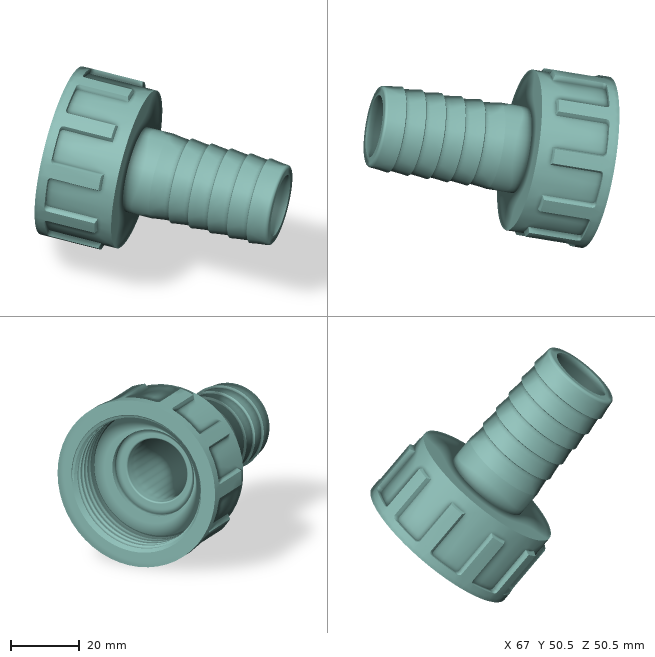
import cadquery as cq
import math


NUT_RADIUS = 25.25
NUT_BODY_RADIUS = 23.7
NUT_LENGTH = 23.0
COLLAR_LENGTH = 2.95
BACK_WALL = 4.0
CHAMBER_END = NUT_LENGTH - BACK_WALL

RIB_COUNT = 10
RIB_TOP_WIDTH = 4.2
RIB_TOP_END = 18.35
RIB_DRAFT = 17
RIB_CORNER_RADIUS = 1.0
CUT_MARGIN = 0.7

BORE_RADIUS = 19.5
THREAD_ROOT_RADIUS = 20.85
MOUTH_CHAMFER = 1.75
THREAD_PITCH = 2.31
THREAD_TURNS = 5.5
THREAD_START = 0.2
THREAD_OVERLAP = 0.1
FLANK_ANGLE = 27.5
ROOT_FLAT = 0.5
RUNOUT_CENTRE = 14.75
RUNOUT_ANGLE = 40

WASHER_RADIUS = 18.95
WASHER_HOLE_RADIUS = 13.1
WASHER_START = 11.8
WASHER_THICKNESS = 2.5

TAIL_START = WASHER_START + WASHER_THICKNESS
TAIL_END = 67.0
TAIL_RADIUS = 12.7
BARB_ROOT_RADIUS = 12.05
BARB_START = 30.95
BARB_PITCH = 5.995
BARB_COUNT = 6
BARB_STEP = 0.35
BARB_SAG = 0.1
TIP_ROUND = 0.9
TAIL_BORE_RADIUS = 9.6
TAIL_BORE_END_RADIUS = 9.2
BORE_ENTRY_ROUND = 0.5


def tube_along_x(start, end, outer_radius, hole_radius):
    ring = cq.Workplane("YZ", origin=(start, 0, 0)).circle(outer_radius).circle(hole_radius)
    return ring.extrude(end - start)


def disc_along_x(start, end, radius):
    return cq.Workplane("YZ", origin=(start, 0, 0)).circle(radius).extrude(end - start)


def revolve_about_x(profile):
    return profile.close().revolve(360, (0, 0, 0), (1, 0, 0))


def make_rib():
    """One grip rib along +Z, its sides and rear end drafted outwards from the base."""
    base_radius = NUT_BODY_RADIUS - CUT_MARGIN
    base_growth = (NUT_RADIUS - base_radius) * math.tan(math.radians(RIB_DRAFT))
    end = RIB_TOP_END + base_growth
    rib = cq.Workplane("XY", origin=(end / 2, 0, base_radius)).rect(end, RIB_TOP_WIDTH + 2 * base_growth)
    return rib.extrude(NUT_RADIUS + CUT_MARGIN - base_radius, taper=RIB_DRAFT)


def make_nut_outside():
    relief = tube_along_x(
        COLLAR_LENGTH, NUT_LENGTH + CUT_MARGIN, NUT_RADIUS + CUT_MARGIN, NUT_BODY_RADIUS
    )
    rib = make_rib()
    for i in range(RIB_COUNT):
        relief = relief.cut(rib.rotate((0, 0, 0), (1, 0, 0), 90 + i * 360 / RIB_COUNT))

    corner_box = cq.selectors.BoxSelector(
        (COLLAR_LENGTH - 0.1, -2 * NUT_RADIUS, -2 * NUT_RADIUS),
        (COLLAR_LENGTH + 0.1, 2 * NUT_RADIUS, 2 * NUT_RADIUS),
    )
    relief = relief.edges(corner_box).edges("%LINE").fillet(RIB_CORNER_RADIUS)
    return disc_along_x(0, NUT_LENGTH, NUT_RADIUS).cut(relief)


def make_groove_profile():
    """Trapezoidal section of the thread groove, on the +Y side."""
    inner_radius = BORE_RADIUS - THREAD_OVERLAP
    half_root = ROOT_FLAT / 2
    half_mouth = half_root + (THREAD_ROOT_RADIUS - inner_radius) * math.tan(math.radians(FLANK_ANGLE))
    return (
        cq.Workplane("XY")
        .moveTo(THREAD_START - half_mouth, inner_radius)
        .lineTo(THREAD_START + half_mouth, inner_radius)
        .lineTo(THREAD_START + half_root, THREAD_ROOT_RADIUS)
        .lineTo(THREAD_START - half_root, THREAD_ROOT_RADIUS)
        .close()
    )


def make_thread_groove():
    """Right-handed groove cut outwards from the bore, running inwards from +Y."""
    helix = cq.Wire.makeHelix(THREAD_PITCH, THREAD_PITCH * THREAD_TURNS, BORE_RADIUS)
    helix = helix.rotate(cq.Vector(0, 0, 0), cq.Vector(0, 0, 1), 90)
    helix = helix.rotate(cq.Vector(0, 0, 0), cq.Vector(0, 1, 0), 90)
    helix = helix.translate(cq.Vector(THREAD_START, 0, 0))
    return make_groove_profile().sweep(cq.Workplane(helix), isFrenet=True)


def make_groove_runout():
    """Start of the groove, swung inwards on a tighter arc until it leaves the wall."""
    return make_groove_profile().revolve(RUNOUT_ANGLE, (0, RUNOUT_CENTRE, 0), (-1, RUNOUT_CENTRE, 0))


def make_nut():
    cavity = revolve_about_x(
        cq.Workplane("XY")
        .moveTo(0, 0)
        .lineTo(0, THREAD_ROOT_RADIUS)
        .lineTo(MOUTH_CHAMFER, BORE_RADIUS)
        .lineTo(CHAMBER_END, BORE_RADIUS)
        .lineTo(CHAMBER_END, TAIL_RADIUS)
        .lineTo(NUT_LENGTH, TAIL_RADIUS)
        .lineTo(NUT_LENGTH, 0)
    )
    nut = make_nut_outside().cut(cavity)
    return nut.cut(make_thread_groove()).cut(make_groove_runout())


def make_washer():
    return tube_along_x(WASHER_START, TAIL_START, WASHER_RADIUS, WASHER_HOLE_RADIUS)


def make_tail():
    profile = (
        cq.Workplane("XY")
        .moveTo(TAIL_START, TAIL_BORE_RADIUS + BORE_ENTRY_ROUND)
        .lineTo(TAIL_START, WASHER_RADIUS)
        .lineTo(CHAMBER_END, WASHER_RADIUS)
        .lineTo(CHAMBER_END, TAIL_RADIUS)
        .lineTo(BARB_START, TAIL_RADIUS)
    )
    middle_radius = (TAIL_RADIUS + BARB_ROOT_RADIUS) / 2 - BARB_SAG
    for i in range(BARB_COUNT - 1):
        crest = BARB_START + i * BARB_PITCH
        root = crest + BARB_PITCH - BARB_STEP
        profile = profile.threePointArc(((crest + root) / 2, middle_radius), (root, BARB_ROOT_RADIUS))
        profile = profile.lineTo(crest + BARB_PITCH, TAIL_RADIUS)

    last_crest = BARB_START + (BARB_COUNT - 1) * BARB_PITCH
    tip_start = TAIL_END - TIP_ROUND
    tip_middle = TIP_ROUND * math.sqrt(0.5)
    tip_radius = BARB_ROOT_RADIUS - TIP_ROUND
    entry_middle = BORE_ENTRY_ROUND * (1 - math.sqrt(0.5))
    profile = (
        profile
        .threePointArc(((last_crest + tip_start) / 2, middle_radius), (tip_start, BARB_ROOT_RADIUS))
        .threePointArc((tip_start + tip_middle, tip_radius + tip_middle), (TAIL_END, tip_radius))
        .lineTo(TAIL_END, TAIL_BORE_END_RADIUS)
        .lineTo(TAIL_START + BORE_ENTRY_ROUND, TAIL_BORE_RADIUS)
        .threePointArc(
            (TAIL_START + entry_middle, TAIL_BORE_RADIUS + entry_middle),
            (TAIL_START, TAIL_BORE_RADIUS + BORE_ENTRY_ROUND),
        )
    )
    return revolve_about_x(profile)


nut = make_nut()
washer = make_washer()
tail = make_tail()

result = cq.Compound.makeCompound([nut.solids().val(), washer.val(), tail.val()])